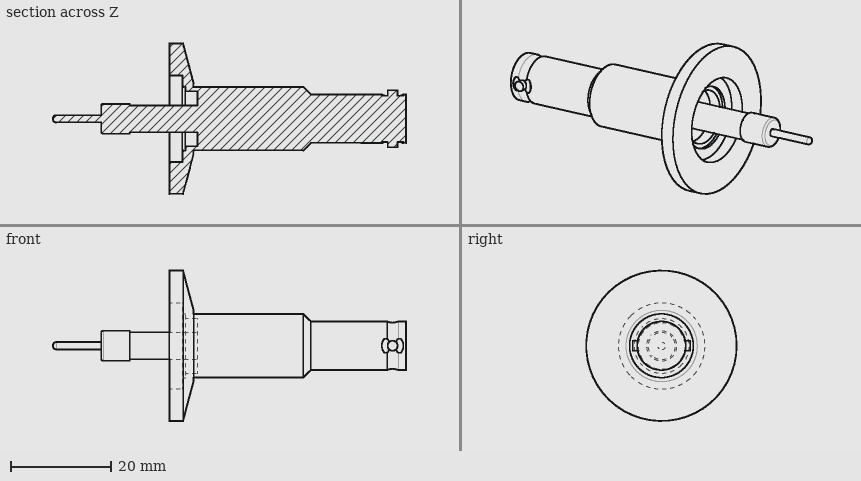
import cadquery as cq


flange_radius = 15.0
flange_rim_width = 2.75
flange_hub_radius = 7.1
flange_width = 4.85

body_radius = 6.35
body_end = 26.7
body_chamfer_length = 1.5

barrel_radius = 4.85
barrel_end = 47.16
groove_center = 44.45
groove_width = 2.15
groove_depth = 0.22

lug_radius = 1.0
lug_tip_reach = 5.7
spotface_radius = 2.15
spotface_reach = 4.64

seal_recess = (8.6, 2.6)
tube_inset = (body_radius, 3.2)
tube_bore = (5.45, 5.6)

rod_radius = 2.7
collar_radius = 3.0
collar_length = 5.75
collar_fillet = 0.4
collar_start = -7.85
pin_radius = 0.75
pin_tip_fillet = 0.7
overall_length = 70.36

collar_front = collar_start - collar_length
pin_tip = barrel_end - overall_length


def cylinder(radius, start, end):
    """Cylinder on the X axis between two X positions."""
    return cq.Workplane("YZ", origin=(start, 0, 0)).circle(radius).extrude(end - start)


def make_shell():
    """Flange, body tube and connector barrel as one revolved outline."""
    barrel_start = body_end + body_chamfer_length
    groove_start = groove_center - groove_width / 2
    groove_end = groove_center + groove_width / 2
    outline = (
        cq.Workplane("XY")
        .moveTo(0, 0)
        .lineTo(0, flange_radius)
        .lineTo(flange_rim_width, flange_radius)
        .lineTo(flange_width, flange_hub_radius)
        .lineTo(flange_width, body_radius)
        .lineTo(body_end, body_radius)
        .lineTo(barrel_start, barrel_radius)
        .lineTo(groove_start, barrel_radius)
        .threePointArc((groove_center, barrel_radius - groove_depth), (groove_end, barrel_radius))
        .lineTo(barrel_end, barrel_radius)
        .lineTo(barrel_end, 0)
        .close()
    )
    return outline.revolve(360, (0, 0, 0), (1, 0, 0))


def cut_recess(shell):
    """Sink the stepped recess into the sealing face."""
    for radius, depth in (seal_recess, tube_inset, tube_bore):
        shell = shell.cut(cylinder(radius, 0, depth))
    return shell


def add_lugs(shell):
    """Spotface the barrel on its -Y and +Y sides and stand a lug on each."""
    for side in (-1, 1):
        seat = cq.Workplane("XZ", origin=(groove_center, side * spotface_reach, 0))
        spotface = seat.circle(spotface_radius).extrude(-side * barrel_radius)
        shell = shell.cut(spotface)
        axis = cq.Workplane("XZ", origin=(groove_center, 0, 0))
        lug = axis.circle(lug_radius).extrude(-side * lug_tip_reach)
        shell = shell.union(lug)
    return shell


def make_conductor():
    """Center rod with its collar and contact pin, rooted in the recess floor."""
    recess_floor = tube_bore[1]
    rod = cylinder(rod_radius, collar_start, recess_floor)
    collar = cylinder(collar_radius, collar_front, collar_start)
    collar = collar.faces("<X").fillet(collar_fillet)
    pin = cylinder(pin_radius, pin_tip, collar_front)
    pin = pin.faces("<X").fillet(pin_tip_fillet)
    return rod.union(collar).union(pin)


result = add_lugs(cut_recess(make_shell())).union(make_conductor())